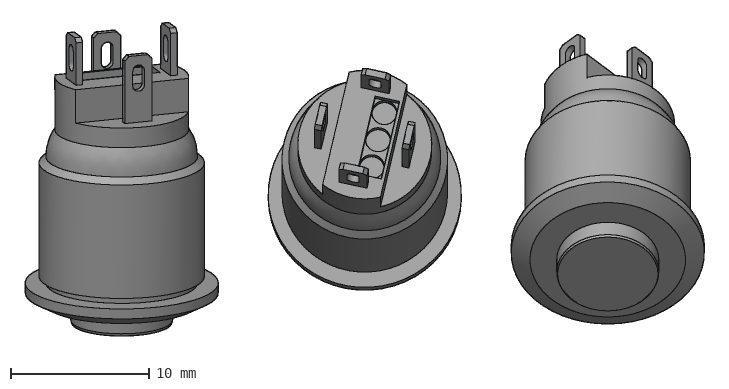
import cadquery as cq
import math

flange_bottom = 1.52
flange_edge_bottom = 2.25
flange_top = 3.0
barrel_bottom = 3.5
barrel_edge_top = 12.03
dome_bottom = 12.5
dome_top = 14.52
shoulder_top = 16.0
rib_top = 18.5
total_height = 22.0

button_diameter = 7.4
flange_diameter = 14.0
flange_face_diameter = 11.26
barrel_diameter = 12.0
neck_diameter = 11.0
base_diameter = 9.7
button_edge_height = 0.2
button_edge_inset = 0.07

rib_width = 4.3

hole_diameter = 1.8
hole_count = 3
hole_pitch = 2.1
hole_depth = 0.5
pocket_width = hole_diameter
pocket_length = (hole_count - 1) * hole_pitch + hole_diameter
pocket_center_x = -1.0
pocket_depth = 0.57

terminal_width = 2.1
terminal_thickness = 0.5
terminal_corner = 0.3
eyelet_width = 0.9
eyelet_length = 1.95
eyelet_top_margin = 0.73
end_terminal_offset = 3.65
side_terminal_offset = 3.25
side_terminal_top = 21.0


def make_body():
    """Revolve the button, flange, barrel, dome and terminal base about Z."""
    button_radius = button_diameter / 2
    flange_radius = flange_diameter / 2
    barrel_radius = barrel_diameter / 2
    neck_radius = neck_diameter / 2
    base_radius = base_diameter / 2

    dome_height = dome_top - dome_bottom
    dome_inset = neck_radius - base_radius
    dome_radius = (dome_height**2 + dome_inset**2) / (2 * dome_inset)
    half_angle = math.asin(dome_height / dome_radius) / 2
    dome_middle = (
        neck_radius - dome_radius * (1 - math.cos(half_angle)),
        dome_bottom + dome_radius * math.sin(half_angle),
    )

    return (
        cq.Workplane("XZ")
        .moveTo(0, 0)
        .lineTo(button_radius - button_edge_inset, 0)
        .lineTo(button_radius, button_edge_height)
        .lineTo(button_radius, flange_bottom)
        .lineTo(flange_face_diameter / 2, flange_bottom)
        .lineTo(flange_radius, flange_edge_bottom)
        .lineTo(flange_radius, flange_top)
        .lineTo(neck_radius, flange_top)
        .lineTo(neck_radius, barrel_bottom)
        .lineTo(barrel_radius, barrel_bottom)
        .lineTo(barrel_radius, barrel_edge_top)
        .lineTo(neck_radius, dome_bottom)
        .threePointArc(dome_middle, (base_radius, dome_top))
        .lineTo(base_radius, shoulder_top)
        .lineTo(0, shoulder_top)
        .close()
        .revolve(360, (0, 0), (0, 1))
    )


def make_rib():
    """Rib along Y whose ends follow the round terminal base."""
    rib_height = rib_top - shoulder_top
    disc = cq.Workplane("XY").workplane(offset=shoulder_top).circle(base_diameter / 2).extrude(rib_height)
    strip = cq.Workplane("XY").workplane(offset=shoulder_top).rect(rib_width, base_diameter).extrude(rib_height)
    return disc.intersect(strip)


def make_contact_pocket():
    """Volume removed by the rectangular pocket and the holes in its floor."""
    pocket = (
        cq.Workplane("XY", origin=(pocket_center_x, 0, rib_top))
        .rect(pocket_width, pocket_length)
        .extrude(-pocket_depth)
    )
    holes = (
        cq.Workplane("XY", origin=(pocket_center_x, 0, rib_top))
        .rarray(0.22, hole_pitch, 1, hole_count)
        .circle(hole_diameter / 2)
        .extrude(-(pocket_depth + hole_depth))
    )
    return pocket.union(holes)


def make_terminal(bottom, top):
    """Upright flat terminal in the XZ plane, centred on the Z axis."""
    blade = (
        cq.Workplane("XY")
        .workplane(offset=bottom)
        .rect(terminal_width, terminal_thickness)
        .extrude(top - bottom)
        .faces(">Z")
        .edges("|Y")
        .chamfer(terminal_corner)
    )
    eyelet = (
        cq.Workplane("XZ", origin=(0, 0, top - eyelet_top_margin - eyelet_length / 2))
        .slot2D(eyelet_length, eyelet_width, 90)
        .extrude(terminal_thickness, both=True)
    )
    return blade.cut(eyelet)


result = make_body().union(make_rib()).cut(make_contact_pocket())

end_terminal = make_terminal(rib_top, total_height)
side_terminal = make_terminal(shoulder_top, side_terminal_top).rotate((0, 0, 0), (0, 0, 1), 90)
for side in (-1, 1):
    result = result.union(end_terminal.translate((0, side * end_terminal_offset, 0)))
    result = result.union(side_terminal.translate((side * side_terminal_offset, 0, 0)))